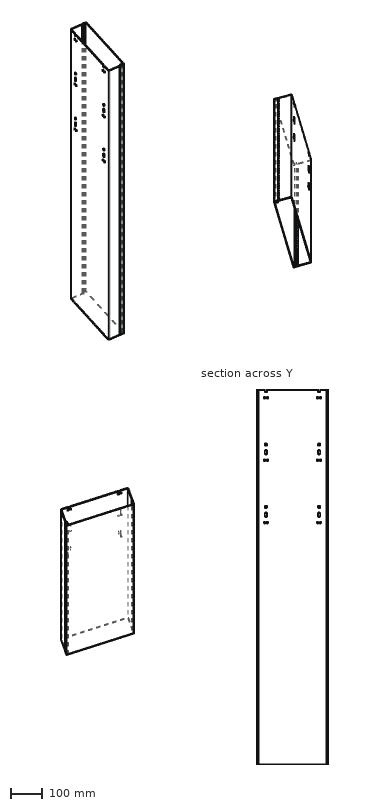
import cadquery as cq
import math

length = 1200.0
cover_width = 230.0
depth = 60.3
half_width = cover_width / 2
front_y = -depth / 2
back_y = depth / 2
top_z = length / 2

base_wall = 3.0
wall_recess = 0.4
base_corner_radius = 5.0
wall_x = half_width - wall_recess

cover_thickness = 2.5
cover_corner_radius = 2.0
cover_depth = 16.0
tip_bevel_height = 2.5
cover_inner_y = back_y - cover_thickness
tip_y = back_y - cover_depth
leg_inner_x = half_width - cover_thickness

joggle_angle = math.radians(35.0)
joggle_step = 4.0
joggle_end_y = tip_y + joggle_step / math.tan(joggle_angle)
lip_x = wall_x - joggle_step
lip_gap = 2.5
lip_end_y = cover_inner_y - lip_gap
inner_bend_drop = base_wall * math.tan(joggle_angle / 2)
leg_seat_y = tip_y + (wall_x - leg_inner_x) / math.tan(joggle_angle)

hole_column_x = 85.0
group_pitch = 200.0
group_count = 3
slot_width = 6.5
slot_height = 14.0
locating_hole_diameter = 7.0
screw_hole_diameter = 4.5
screw_hole_offset = 4.5
hole_spacing = 25.0


def extrude_mirrored(right_half):
    """Close an outline given for +X with its mirror image and extrude it over the length."""
    left_half = [(-x, y) for x, y in reversed(right_half)]
    outline = cq.Workplane("XY", origin=(0, 0, -top_z)).polyline(right_half + left_half).close()
    return outline.extrude(length)


def front_holes(z, columns):
    """Start a sketch on the front face with a point at height z in each column."""
    front_face = cq.Workplane("XZ", origin=(0, front_y, 0))
    return front_face.pushPoints([(x, z) for x in columns])


def make_hole_group(slot_z):
    """Cutters through the front wall for the slots, locating holes and screw holes at both sides."""
    columns = (-hole_column_x, hole_column_x)
    screw_columns = [x + offset for x in columns for offset in (-screw_hole_offset, screw_hole_offset)]
    slots = front_holes(slot_z, columns).slot2D(slot_height, slot_width, 90)
    slots = slots.extrude(-base_wall)
    locating_holes = front_holes(slot_z + hole_spacing, columns).circle(locating_hole_diameter / 2)
    locating_holes = locating_holes.extrude(-base_wall)
    screw_holes = front_holes(slot_z - hole_spacing, screw_columns).circle(screw_hole_diameter / 2)
    screw_holes = screw_holes.extrude(-base_wall)
    return slots, locating_holes, screw_holes


def make_base():
    """U-shaped base with rounded front corners, joggled lips and the hole groups."""
    body = extrude_mirrored(
        [
            (wall_x, front_y),
            (wall_x, tip_y),
            (lip_x, joggle_end_y),
            (lip_x, lip_end_y),
            (lip_x - base_wall, lip_end_y),
            (lip_x - base_wall, joggle_end_y - inner_bend_drop),
            (wall_x - base_wall, tip_y - inner_bend_drop),
            (wall_x - base_wall, front_y + base_wall),
        ]
    )
    body = body.faces("<Y").edges("|Z").fillet(base_corner_radius)
    for group in range(group_count):
        for cutter in make_hole_group(top_z - group * group_pitch):
            body = body.cut(cutter)
    return body


def make_cover():
    """C-shaped cover whose legs end in pointed tips resting on the joggles of the base."""
    body = extrude_mirrored(
        [
            (half_width, back_y),
            (half_width, tip_y + tip_bevel_height),
            (wall_x, tip_y),
            (leg_inner_x, leg_seat_y),
            (leg_inner_x, cover_inner_y),
        ]
    )
    return body.faces(">Y").edges("|Z").fillet(cover_corner_radius)


base = make_base()
cover = make_cover()

result = cq.Compound.makeCompound([base.solids().val(), cover.solids().val()])